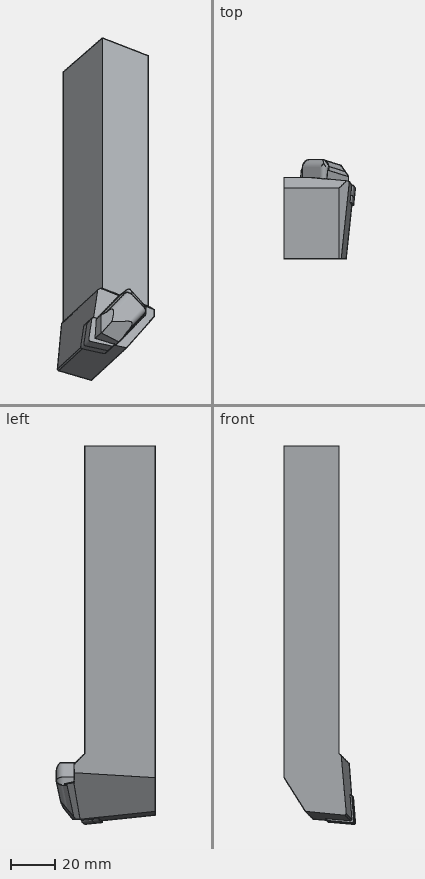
import cadquery as cq
import math

shank_width = 25.0
shank_depth = 32.0
overall_length = 171.35
shank_end_z = 32.1

head_face_y = 36.8
lead_angle = 5.0
tilt_angle = 6.0
head_bottom_length = 18.6
slant_angle = 57.5
head_corner_chamfer = 0.7
reach = 50.0

insert_circle = 12.7
insert_corner_angle = 90 - 2 * lead_angle
insert_thickness = 4.76
shim_thickness = 3.18
nose_radius = 0.8
insert_overhang = 0.75
tip_x = 32.37
tip_y = shank_depth

clamp_top_y = 44.92
clamp_base_y = tip_y
clamp_left_x = 8.3
clamp_left_top_z = 21.5
clamp_crest_x, clamp_crest_z = 18.0, 28.6
clamp_round = 3.6
crest_round = 1.8
clamp_nose_angle = 56.0
clamp_nose_slope = 10.0
clamp_nose_center_x, clamp_nose_center_z = 14.3, 21.7
clamp_nose_width = 14.5
clamp_nose_length = 30.0
flank_top_depth = 4.9
roof_round = 2.9
flank_bevel_inset = 0.8
clamp_limit_x = 29.3
clamp_limit_z = 2.3
side_bevel_point = (25.3, 43.0, 0.0)
side_bevel_normal = (0.82, 0.57, 0.0)
bottom_bevel_point = (12.9, 43.0, 11.0)
bottom_bevel_normal = (-0.1, 0.74, -0.66)


def polar(angle, distance):
    """Offset in a plane, at an angle in degrees from its first axis."""
    return cq.Vector(distance * math.cos(math.radians(angle)), distance * math.sin(math.radians(angle)))


def trim(body, point, normal):
    """Remove everything of the body that lies beyond the plane."""
    size = 2 * reach
    beyond = cq.Workplane(cq.Plane(origin=point, normal=normal)).rect(size, size).extrude(size)
    return body.cut(beyond)


tilt = math.tan(math.radians(tilt_angle))
seat = cq.Plane(
    origin=(tip_x - nose_radius, tip_y, nose_radius),
    xDir=(1, -tilt, 0),
    normal=(-tilt, -1, tilt),
)
side_edge_direction = 90 + lead_angle
bottom_edge_direction = 180 - lead_angle
inward_direction = (side_edge_direction + bottom_edge_direction) / 2
half_corner_sine = math.sin(math.radians(insert_corner_angle / 2))
insert_corner = polar(inward_direction, -nose_radius / half_corner_sine)


def seat_outline(corners, top_depth=0):
    """Closed outline on a plane lying below the seat plane by the given depth."""
    points = [(corner.x, corner.y) for corner in corners]
    return cq.Workplane(seat).workplane(offset=top_depth).polyline(points).close()


def rhombus_plate(top_depth, thickness):
    """Plate of the insert's outline whose top lies below the seat plane by the given depth."""
    edge = insert_circle / math.sin(math.radians(insert_corner_angle))
    side_end = insert_corner + polar(side_edge_direction, edge)
    bottom_end = insert_corner + polar(bottom_edge_direction, edge)
    far_corner = side_end + polar(bottom_edge_direction, edge)
    corners = [insert_corner, side_end, far_corner, bottom_end]
    plate = seat_outline(corners, top_depth).extrude(thickness)
    upright_edges = cq.selectors.ParallelDirSelector(seat.zDir)
    return plate.edges(upright_edges).fillet(nose_radius)


def head_prism():
    """Walls below and beside the insert, square to the tilted seat."""
    corner = insert_corner + polar(inward_direction, insert_overhang / half_corner_sine)
    bottom_end = corner + polar(bottom_edge_direction, head_bottom_length)
    slant_end = bottom_end + polar(180 - slant_angle, reach)
    side_end = corner + polar(side_edge_direction, reach)
    corner_side = corner + polar(side_edge_direction, head_corner_chamfer)
    corner_bottom = corner + polar(bottom_edge_direction, head_corner_chamfer)
    corners = [corner_side, corner_bottom, bottom_end, slant_end, side_end]
    return seat_outline(corners).extrude(reach)


def make_head():
    """Head with 45 degree flares out of the shank on its +X and +Y sides."""
    block = cq.Workplane().box(reach, head_face_y, shank_end_z, centered=False)
    head = block.intersect(head_prism())
    head = trim(head, (shank_width, 0, shank_end_z), (1, 0, 1))
    return trim(head, (0, shank_depth, shank_end_z), (0, 1, 1))


def make_shank():
    length = overall_length - shank_end_z
    shank = cq.Workplane().box(shank_width, shank_depth, length, centered=False)
    return shank.translate((0, 0, shank_end_z))


def rounded_wall(x, z, run_x, run_z):
    """Slab behind an upright wall through (x, z) that runs along (run_x, run_z), its top edge rounded."""
    plane = cq.Plane(origin=(x, clamp_base_y, z), xDir=(run_x, 0, run_z), normal=(0, 1, 0))
    height = clamp_top_y - clamp_base_y
    slab = cq.Workplane().box(2 * reach, reach, height, centered=(True, False, False))
    rounded = slab.edges("<Y and >Z").fillet(clamp_round)
    return rounded.val().located(cq.Location(plane))


def make_clamp_block():
    """Rear block of the clamp, ending on a line square to the nose."""
    across = polar(90 - clamp_nose_angle, clamp_nose_width / 2)
    center = cq.Vector(clamp_nose_center_x, clamp_nose_center_z)
    right_end = center + across
    left_end = center - across
    corners = [
        (clamp_left_x, left_end.y),
        (clamp_left_x, clamp_left_top_z),
        (clamp_crest_x, clamp_crest_z),
        (right_end.x, right_end.y),
    ]
    base = cq.Workplane("XZ", origin=(0, clamp_base_y, 0)).polyline(corners).close()
    block = base.extrude(clamp_base_y - clamp_top_y)
    crest_middle = (clamp_crest_x, (clamp_base_y + clamp_top_y) / 2, clamp_crest_z)
    crest = cq.selectors.NearestToPointSelector(crest_middle)
    block = block.edges("|Y").edges(crest).fillet(crest_round)
    for (start_x, start_z), (end_x, end_z) in zip(corners, corners[1:]):
        wall = rounded_wall(start_x, start_z, end_x - start_x, end_z - start_z)
        block = block.intersect(cq.Workplane(wall))
    return block


def make_clamp_nose():
    """Nose with upright flanks, bevels and a rounded roof, bevelled off at the cutting corner."""
    along = polar(-clamp_nose_angle, 1)
    descent = math.tan(math.radians(clamp_nose_slope))
    plane = cq.Plane(
        origin=(clamp_nose_center_x, clamp_top_y, clamp_nose_center_z),
        xDir=(along.y, 0, -along.x),
        normal=(along.x, -descent, along.y),
    )
    flank = clamp_nose_width / 2
    shoulder = flank - flank_bevel_inset
    roof = shoulder - roof_round
    arc_x = roof + roof_round * math.sin(math.pi / 4)
    arc_depth = roof_round * (1 - math.cos(math.pi / 4))
    section = (
        cq.Workplane(plane)
        .moveTo(-flank, -reach)
        .lineTo(-flank, -flank_top_depth)
        .lineTo(-shoulder, -roof_round)
        .threePointArc((-arc_x, -arc_depth), (-roof, 0))
        .lineTo(roof, 0)
        .threePointArc((arc_x, -arc_depth), (shoulder, -roof_round))
        .lineTo(flank, -flank_top_depth)
        .lineTo(flank, -reach)
        .close()
    )
    nose = section.extrude(clamp_nose_length)
    nose = trim(nose, (0, clamp_base_y, 0), (0, -1, 0))
    nose = trim(nose, (clamp_limit_x, 0, 0), (1, 0, 0))
    nose = trim(nose, (0, 0, clamp_limit_z), (0, 0, -1))
    nose = trim(nose, side_bevel_point, side_bevel_normal)
    return trim(nose, bottom_bevel_point, bottom_bevel_normal)


insert = rhombus_plate(0, insert_thickness)
shim = rhombus_plate(insert_thickness, shim_thickness)

holder = make_shank().union(make_head()).union(shim)
holder = holder.union(make_clamp_block()).union(make_clamp_nose()).cut(insert)

result = cq.Compound.makeCompound([holder.solids().val(), insert.solids().val()])